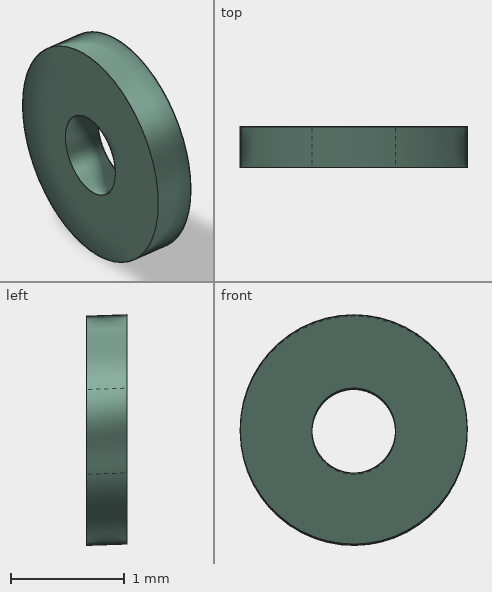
import cadquery as cq

disc_width = 2.0
overall_height = 2.03
thickness = 0.36
rear_drop = 0.012

hole_width = 0.735
hole_height = 0.747
hole_offset = -0.01

face_height = overall_height - rear_drop


def leaning_cylinder(width, height, center_z):
    """Join equal ellipses on the front and rear faces, the rear one lowered."""
    return (
        cq.Workplane("XZ", origin=(0, -thickness / 2, center_z + rear_drop / 2))
        .ellipse(width / 2, height / 2)
        .workplane(offset=-thickness)
        .center(0, -rear_drop)
        .ellipse(width / 2, height / 2)
        .loft(ruled=True)
    )


disc = leaning_cylinder(disc_width, face_height, 0)
hole = leaning_cylinder(hole_width, hole_height, hole_offset)
result = disc.cut(hole)